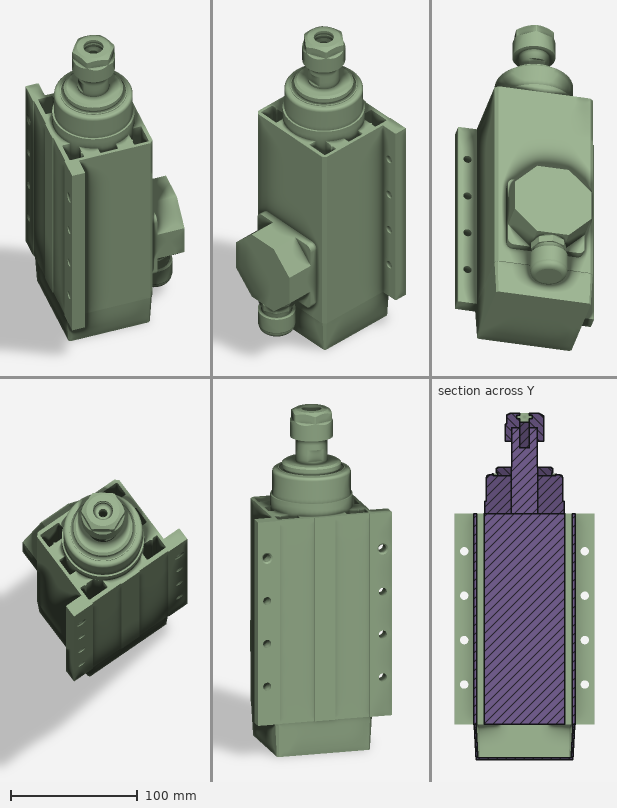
import cadquery as cq
import math


BODY_LENGTH = 166.3
BODY_WIDTH = 80.0
BODY_BACK = 36.2
BODY_CHAMFER = 2.8
FOOT_SPAN = 110.0
FOOT_FACE = -37.25
FOOT_THICKNESS = 10.9
FOOT_EDGE_CHAMFER = 0.4
GROOVE_DEPTH = 0.7
CENTRE_PAD_WIDTH = 17.4
SIDE_PAD_INNER = 36.8

FOOT_HOLE_DIA = 6.6
FOOT_HOLE_X = 47.5
FOOT_HOLE_FIRST_Z = 31.5
FOOT_HOLE_PITCH = 35.0
FOOT_HOLE_COUNT = 4
TOP_HOLE_SINK_DIA = 9.0

CHANNEL_OUTER_X = 37.4
CHANNEL_INNER_X = 19.2
CORNER_CHANNEL_NEAR_Y = 20.8
CORNER_CHANNEL_FAR_Y = 33.1
CHANNEL_FILLET = 0.8
SIDE_CHANNEL_WIDTH = 15.0
SIDE_CHANNEL_INNER_X = 30.0
BEAD_RADIUS = 1.0
BEAD_X = 32.1

COVER_HEIGHT = 27.8
COVER_WIDTH = 79.6
COVER_DEPTH = 71.2
COVER_CHAMFER = 2.3
COVER_DRAFT = 3.2
COVER_WALL = 1.8

BOX_SIZE = 62.0
BOX_BOTTOM = 13.2
BOX_BACK = 65.2
BOX_BASE_DEPTH = 6.2
BOX_BASE_RADIUS = 5.0
BOX_CORNER_CUT = 18.2

GLAND_RADIUS = 14.9
GLAND_Y = BOX_BACK - GLAND_RADIUS
GLAND_OCTAGON_RADIUS = 14.2
GLAND_SEAT_RADIUS = 12.5
GLAND_SEAT_HEIGHT = 1.6
GLAND_OCTAGON_HEIGHT = 5.4
GLAND_NECK_RADIUS = 12.3
GLAND_NECK_HEIGHT = 5.1
GLAND_NUT_HEIGHT = 13.2
GLAND_LIP_DROP = 1.1
GLAND_LIP_INSET = 0.5
GLAND_DOME_HEIGHT = 5.1
GLAND_END_RADIUS = 10.5

FLANGE_RADIUS = 32.5
FLANGE_HEIGHT = 9.8
HOUSING_RADIUS = 31.0
HOUSING_HEIGHT = 20.7
HOUSING_FILLET = 2.5
LIP_RADIUS = 26.4
LIP_HEIGHT = 0.8
RECESS_RADIUS = 25.6
RECESS_DEPTH = 0.5

SEAL_RADIUS = 23.4
SEAL_NECK_RADIUS = 22.6
SEAL_GAP = 0.6
SEAL_HEIGHT = 4.8
SEAL_CHAMFER_WIDTH = 2.0
SEAL_CHAMFER_HEIGHT = 1.4

SHAFT_RADIUS = 12.5
SHAFT_FLATS = 21.2
SHAFT_FLAT_HEIGHT = 9.4
SHAFT_FLAT_RISE = 2.0
SHAFT_EXPOSED = 20.0

NUT_RADIUS = 17.0
NUT_ROUND_HEIGHT = 12.6
NUT_BEVEL_HEIGHT = 1.6
NUT_HEX_HEIGHT = 9.8
NUT_ACROSS_FLATS = 30.0
NUT_HEX_TURN = 23.6
NUT_TOP_RADIUS = 13.0
NUT_TOP_CHAMFER_HEIGHT = 2.4
NUT_GROOVE_RADIUS = 9.2
NUT_GROOVE_DEPTH = 2.0
NUT_GROOVE_WIDTH = 2.5
NUT_OVERLAP = 11.0

COLLET_RADIUS = 7.9
COLLET_RECESS = 7.0
COLLET_LENGTH = 20.0
COLLET_BORE_DIA = 7.0

flange_top = BODY_LENGTH + FLANGE_HEIGHT
housing_top = flange_top + HOUSING_HEIGHT
lip_top = housing_top + LIP_HEIGHT
recess_floor = housing_top - RECESS_DEPTH
seal_bottom = lip_top + SEAL_GAP
seal_top = seal_bottom + SEAL_HEIGHT
nut_bottom = seal_top + SHAFT_EXPOSED
nut_hex_bottom = nut_bottom + NUT_ROUND_HEIGHT
nut_top = nut_hex_bottom + NUT_HEX_HEIGHT
shaft_top = nut_bottom + NUT_OVERLAP
collet_top = nut_top - COLLET_RECESS
collet_bottom = collet_top - COLLET_LENGTH


def box_between(x_range, y_range, z_range):
    """Box given by its low and high coordinates along each axis."""
    lows, highs = zip(x_range, y_range, z_range)
    sizes = [high - low for low, high in zip(lows, highs)]
    return cq.Workplane("XY").box(*sizes, centered=False).translate(lows)


def cylinder(radius, bottom, top):
    """Cylinder on the spindle axis."""
    return cq.Workplane("XY").workplane(offset=bottom).circle(radius).extrude(top - bottom)


def turned(points):
    """Solid of revolution about Z from (radius, height) points."""
    return cq.Workplane("XZ").polyline(points).close().revolve(360, (0, 0), (0, 1))


def corner_channel(side_x, side_y):
    """Rectangular channel in one corner, with a bead on its wall nearest the XZ plane."""
    width = CHANNEL_OUTER_X - CHANNEL_INNER_X
    depth = CORNER_CHANNEL_FAR_Y - CORNER_CHANNEL_NEAR_Y
    centre_x = side_x * (CHANNEL_OUTER_X + CHANNEL_INNER_X) / 2
    centre_y = side_y * (CORNER_CHANNEL_FAR_Y + CORNER_CHANNEL_NEAR_Y) / 2
    channel = cq.Workplane("XY").center(centre_x, centre_y).rect(width, depth).extrude(BODY_LENGTH)
    channel = channel.edges("|Z").fillet(CHANNEL_FILLET)
    bead = cylinder(BEAD_RADIUS, 0, BODY_LENGTH)
    return channel.cut(bead.translate((side_x * BEAD_X, side_y * CORNER_CHANNEL_NEAR_Y, 0)))


def side_channel(side_x):
    """Rectangular channel halfway along one side wall."""
    width = CHANNEL_OUTER_X - SIDE_CHANNEL_INNER_X
    centre_x = side_x * (CHANNEL_OUTER_X + SIDE_CHANNEL_INNER_X) / 2
    channel = cq.Workplane("XY").center(centre_x, 0).rect(width, SIDE_CHANNEL_WIDTH).extrude(BODY_LENGTH)
    return channel.edges("|Z").fillet(CHANNEL_FILLET)


def make_body():
    """Extrusion with two feet, mounting holes and long channels around the stator tube."""
    half_width = BODY_WIDTH / 2
    length = (0, BODY_LENGTH)
    trunk = box_between((-half_width, half_width), (FOOT_FACE, BODY_BACK), length)
    trunk = trunk.edges("|Z and >Y").chamfer(BODY_CHAMFER)
    feet = box_between((-FOOT_SPAN / 2, FOOT_SPAN / 2), (FOOT_FACE, FOOT_FACE + FOOT_THICKNESS), length)
    feet = feet.edges("|Z and >Y").chamfer(FOOT_EDGE_CHAMFER)
    body = trunk.union(feet)

    stator_tube = cylinder(FLANGE_RADIUS, 0, BODY_LENGTH)
    for side_x in (-1, 1):
        body = body.cut(side_channel(side_x).cut(stator_tube))
        for side_y in (-1, 1):
            body = body.cut(corner_channel(side_x, side_y).cut(stator_tube))

        groove_x = sorted((side_x * CENTRE_PAD_WIDTH / 2, side_x * SIDE_PAD_INNER))
        body = body.cut(box_between(groove_x, (FOOT_FACE, FOOT_FACE + GROOVE_DEPTH), length))

        holes = [(side_x * FOOT_HOLE_X, FOOT_HOLE_FIRST_Z + i * FOOT_HOLE_PITCH)
                 for i in range(FOOT_HOLE_COUNT)]
        foot_plane = cq.Workplane("XZ", origin=(0, FOOT_FACE, 0))
        body = body.cut(foot_plane.pushPoints(holes).circle(FOOT_HOLE_DIA / 2).extrude(-FOOT_THICKNESS))
        sink = cq.Solid.makeCone(
            TOP_HOLE_SINK_DIA / 2, FOOT_HOLE_DIA / 2, (TOP_HOLE_SINK_DIA - FOOT_HOLE_DIA) / 2,
            pnt=cq.Vector(holes[-1][0], FOOT_FACE, holes[-1][1]), dir=cq.Vector(0, 1, 0))
        body = body.cut(cq.Workplane(sink))
    return body


def tapered_block(inset, height):
    """Tapered block with chamfered corners, hanging below Z = 0 and inset from the cover's outline."""
    half_width = COVER_WIDTH / 2 - inset
    half_depth = COVER_DEPTH / 2 - inset
    cut_x = half_width - COVER_CHAMFER
    cut_y = half_depth - COVER_CHAMFER
    outline = [(half_width, -cut_y), (half_width, cut_y), (cut_x, half_depth), (-cut_x, half_depth),
               (-half_width, cut_y), (-half_width, -cut_y), (-cut_x, -half_depth), (cut_x, -half_depth)]
    return cq.Workplane("XY").polyline(outline).close().extrude(-height, taper=COVER_DRAFT)


def make_cover():
    """Thin tapered cover whose hollow the body's channels open into."""
    outside = tapered_block(0, COVER_HEIGHT)
    return outside.cut(tapered_block(COVER_WALL, COVER_HEIGHT - COVER_WALL))


def make_terminal_box():
    """Square box with a rounded base and large corner cuts above it."""
    half = BOX_SIZE / 2
    base_back = BODY_BACK + BOX_BASE_DEPTH
    height = (BOX_BOTTOM, BOX_BOTTOM + BOX_SIZE)
    base = box_between((-half, half), (BODY_BACK, base_back), height).edges("|Y").fillet(BOX_BASE_RADIUS)
    lid = box_between((-half, half), (base_back, BOX_BACK), height).edges("|Y").chamfer(BOX_CORNER_CUT)
    return base.union(lid)


def make_gland():
    """Cable gland hanging from the terminal box: seat, octagon, neck and domed nut."""
    octagon_top = BOX_BOTTOM - GLAND_SEAT_HEIGHT
    octagon_bottom = octagon_top - GLAND_OCTAGON_HEIGHT
    gland_nut_top = octagon_bottom - GLAND_NECK_HEIGHT
    lip = gland_nut_top - GLAND_NUT_HEIGHT
    dome_start = lip - GLAND_LIP_DROP
    dome_radius = GLAND_RADIUS - GLAND_LIP_INSET
    gland_end = dome_start - GLAND_DOME_HEIGHT
    dome_mid = (GLAND_END_RADIUS + (dome_radius - GLAND_END_RADIUS) * math.sqrt(0.5),
                dome_start - GLAND_DOME_HEIGHT * math.sqrt(0.5))
    turned_parts = (
        cq.Workplane("XZ").moveTo(0, BOX_BOTTOM).lineTo(GLAND_SEAT_RADIUS, BOX_BOTTOM)
        .lineTo(GLAND_SEAT_RADIUS, octagon_bottom).lineTo(GLAND_NECK_RADIUS, octagon_bottom)
        .lineTo(GLAND_NECK_RADIUS, gland_nut_top).lineTo(GLAND_RADIUS, gland_nut_top)
        .lineTo(GLAND_RADIUS, lip).lineTo(dome_radius, dome_start)
        .threePointArc(dome_mid, (GLAND_END_RADIUS, gland_end)).lineTo(0, gland_end).close()
        .revolve(360, (0, 0), (0, 1)))
    octagon = (cq.Workplane("XY").workplane(offset=octagon_bottom)
               .polygon(8, 2 * GLAND_OCTAGON_RADIUS).extrude(GLAND_OCTAGON_HEIGHT))
    return turned_parts.union(octagon).translate((0, GLAND_Y, 0))


def make_housing():
    """Flanged bearing housing with a raised lip around a recess for the seal ring."""
    housing = cylinder(HOUSING_RADIUS, flange_top, housing_top).faces(">Z").edges().fillet(HOUSING_FILLET)
    housing = housing.union(cylinder(FLANGE_RADIUS, BODY_LENGTH, flange_top))
    housing = housing.union(cylinder(LIP_RADIUS, recess_floor, lip_top))
    housing = housing.cut(cylinder(RECESS_RADIUS, recess_floor, lip_top))
    return housing.cut(cylinder(SHAFT_RADIUS, BODY_LENGTH, lip_top))


def make_seal_ring():
    """Chamfered ring on the shaft, standing in the housing recess on a narrower neck."""
    return turned([
        (SHAFT_RADIUS, recess_floor), (SEAL_NECK_RADIUS, recess_floor), (SEAL_NECK_RADIUS, seal_bottom),
        (SEAL_RADIUS, seal_bottom), (SEAL_RADIUS, seal_top - SEAL_CHAMFER_HEIGHT),
        (SEAL_RADIUS - SEAL_CHAMFER_WIDTH, seal_top), (SHAFT_RADIUS, seal_top)])


def make_shaft():
    """Round shaft with two wrench flats and a socket for the collet."""
    shaft = cylinder(SHAFT_RADIUS, BODY_LENGTH, shaft_top)
    flat_bottom = seal_top + SHAFT_FLAT_RISE
    flat_height = (flat_bottom, flat_bottom + SHAFT_FLAT_HEIGHT)
    across = (-SHAFT_RADIUS, SHAFT_RADIUS)
    shaft = shaft.cut(box_between(across, (SHAFT_FLATS / 2, SHAFT_RADIUS), flat_height))
    shaft = shaft.cut(box_between(across, (-SHAFT_RADIUS, -SHAFT_FLATS / 2), flat_height))
    return shaft.cut(cylinder(COLLET_RADIUS, collet_bottom, shaft_top))


def make_nut():
    """Round collet nut with a bevelled hexagon on top and a groove in its bore."""
    bevel_width = NUT_RADIUS - NUT_ACROSS_FLATS / 2
    bevel_slope = math.degrees(math.atan2(bevel_width, NUT_BEVEL_HEIGHT))
    corner_ratio = 1 / math.cos(math.pi / 6)
    blank = turned([
        (0, nut_bottom), (NUT_RADIUS, nut_bottom), (NUT_RADIUS, nut_top - NUT_TOP_CHAMFER_HEIGHT),
        (NUT_TOP_RADIUS, nut_top), (0, nut_top)])
    hex_base = cq.Workplane("XY", origin=(0, 0, nut_hex_bottom)).transformed(rotate=(0, 0, NUT_HEX_TURN))
    bevels = hex_base.polygon(6, 2 * NUT_RADIUS * corner_ratio).extrude(NUT_BEVEL_HEIGHT, taper=bevel_slope)
    hexagon = hex_base.polygon(6, NUT_ACROSS_FLATS * corner_ratio).extrude(NUT_HEX_HEIGHT)
    keep = cylinder(NUT_RADIUS, nut_bottom, nut_hex_bottom).union(bevels).union(hexagon)
    nut = blank.intersect(keep)
    nut = nut.cut(cylinder(COLLET_RADIUS, nut_bottom, nut_top))
    groove_top = nut_top - NUT_GROOVE_DEPTH
    nut = nut.cut(cylinder(NUT_GROOVE_RADIUS, groove_top - NUT_GROOVE_WIDTH, groove_top))
    return nut.cut(cylinder(SHAFT_RADIUS, nut_bottom, shaft_top))


def make_collet():
    """Bored collet, set back from the face of the nut."""
    collet = cylinder(COLLET_RADIUS, collet_bottom, collet_top)
    return collet.cut(cylinder(COLLET_BORE_DIA / 2, collet_bottom, collet_top))


body = make_body()
cover = make_cover()
terminal_box = make_terminal_box()
gland = make_gland().cut(body).cut(cover)
housing = make_housing()
seal_ring = make_seal_ring()
shaft = make_shaft()
nut = make_nut()
collet = make_collet()

result = cq.Compound.makeCompound([
    body.val(), cover.val(), terminal_box.val(), gland.val(), housing.val(),
    seal_ring.val(), shaft.val(), nut.val(), collet.val()])